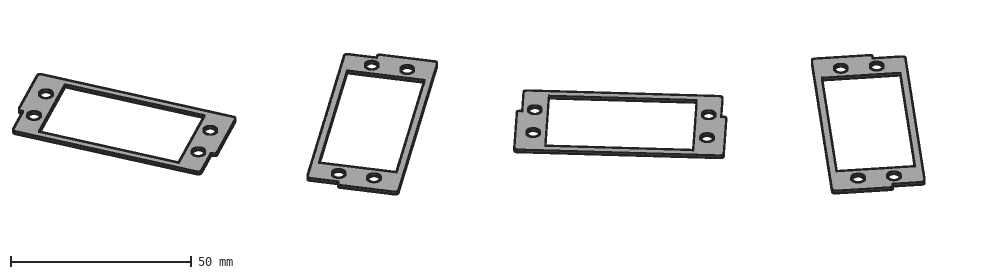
import cadquery as cq

length = 58.2
width = 26.0
thickness = 1.0
corner_radius = 1.0

notch_depth = 1.45
shoulder_from_back = 17.0
shoulder_radius = 0.75

window_length = 41.05
rail_width = 2.1
window_width = width - 2 * rail_width

hole_diameter = 3.8
hole_spacing_x = 48.3
hole_spacing_y = 10.0
hole_row_center_from_back = 12.7

back_y = width / 2


def make_plate():
    """Plate whose front portion is narrower, with every outer corner rounded."""
    rear = (
        cq.Workplane("XY")
        .rect(length, shoulder_from_back)
        .extrude(thickness)
        .translate((0, back_y - shoulder_from_back / 2, 0))
        .edges("|Z and >Y").fillet(corner_radius)
        .edges("|Z and <Y").fillet(shoulder_radius)
    )
    narrow = (
        cq.Workplane("XY")
        .rect(length - 2 * notch_depth, width)
        .extrude(thickness)
        .edges("|Z and <Y").fillet(corner_radius)
    )
    return rear.union(narrow)


def cut_window(plate):
    window = cq.Workplane("XY").rect(window_length, window_width).extrude(thickness)
    return plate.cut(window)


def cut_holes(plate):
    holes = (
        cq.Workplane("XY")
        .center(0, back_y - hole_row_center_from_back)
        .rarray(hole_spacing_x, hole_spacing_y, 2, 2)
        .circle(hole_diameter / 2)
        .extrude(thickness)
    )
    return plate.cut(holes)


result = cut_holes(cut_window(make_plate()))